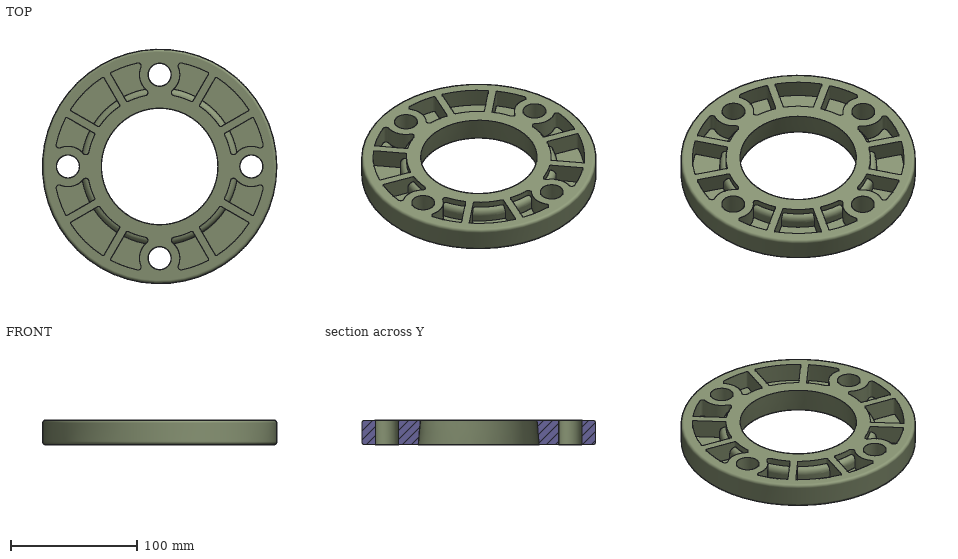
import cadquery as cq
import math

OUTER_DIAMETER = 185.6
THICKNESS = 19.7
BORE_DIAMETER = 92.0
BORE_TAPER = 5
RIM_FILLET = 2.5

BOLT_COUNT = 4
BOLT_DIAMETER = 18.0
BOLT_CIRCLE_RADIUS = 72.5
BOSS_RADIUS = 16.0

POCKET_INNER_RADIUS = 57.2
POCKET_OUTER_RADIUS = 83.7
POCKET_DEPTH = 15.0
RIB_WIDTH = 6.1
RIB_ANGLE = 30
RIB_CORNER_RADIUS = 1.0
BOSS_CORNER_RADIUS = 2.5

SHOULDER_WIDTH = 5.0
SHOULDER_DEPTH = 5.0

pocket_floor = THICKNESS - POCKET_DEPTH
bolt_pitch = 360 / BOLT_COUNT
bolt_angles = [i * bolt_pitch for i in range(BOLT_COUNT)]
rib_angles = [bolt + side * RIB_ANGLE for bolt in bolt_angles for side in (-1, 1)]


def bolt_cylinders(radius, bottom, height):
    return (
        cq.Workplane("XY", origin=(0, 0, bottom))
        .polarArray(BOLT_CIRCLE_RADIUS, 0, 360, BOLT_COUNT)
        .circle(radius)
        .extrude(height)
    )


def make_ring():
    disc = cq.Workplane("XY").circle(OUTER_DIAMETER / 2).extrude(THICKNESS)
    disc = disc.edges().fillet(RIM_FILLET)
    bore = (
        cq.Workplane("XY", origin=(0, 0, THICKNESS))
        .circle(BORE_DIAMETER / 2)
        .extrude(-THICKNESS, taper=-BORE_TAPER)
    )
    return disc.cut(bore)


def make_rib(angle):
    return (
        cq.Workplane("XY", origin=(0, 0, pocket_floor))
        .transformed(rotate=(0, 0, angle))
        .rect(OUTER_DIAMETER / 2, RIB_WIDTH, centered=(False, True))
        .extrude(POCKET_DEPTH)
    )


def make_shoulder():
    """Ring with a vertical outer wall and a quarter-round top."""
    outer_radius = POCKET_INNER_RADIUS + SHOULDER_WIDTH
    top = THICKNESS - SHOULDER_DEPTH
    round_start = top - SHOULDER_WIDTH
    diagonal = SHOULDER_WIDTH * math.sqrt(0.5)
    return (
        cq.Workplane("XZ")
        .moveTo(BORE_DIAMETER / 2, pocket_floor)
        .lineTo(outer_radius, pocket_floor)
        .lineTo(outer_radius, round_start)
        .threePointArc(
            (POCKET_INNER_RADIUS + diagonal, round_start + diagonal),
            (POCKET_INNER_RADIUS, top),
        )
        .lineTo(BORE_DIAMETER / 2, top)
        .close()
        .revolve(360, (0, 0, 0), (0, 1, 0))
    )


def is_boss_corner(edge):
    """True for an upright pocket edge nearer to a bolt hole than to a rib."""
    corner = edge.Center()
    angle = math.degrees(math.atan2(corner.y, corner.x))
    nearest_bolt = round(angle / bolt_pitch) * bolt_pitch
    return abs(angle - nearest_bolt) < RIB_ANGLE / 2


def upright_edges(solid, at_boss):
    edges = cq.Workplane(solid).edges("|Z").vals()
    return [edge for edge in edges if is_boss_corner(edge) == at_boss]


def round_corners(pocket):
    boss_corners = upright_edges(pocket, at_boss=True)
    if boss_corners:
        pocket = pocket.fillet(BOSS_CORNER_RADIUS, boss_corners)
    return pocket.fillet(RIB_CORNER_RADIUS, upright_edges(pocket, at_boss=False))


def make_pockets():
    band = (
        cq.Workplane("XY", origin=(0, 0, pocket_floor))
        .circle(POCKET_OUTER_RADIUS)
        .circle(POCKET_INNER_RADIUS)
        .extrude(POCKET_DEPTH)
        .cut(bolt_cylinders(BOSS_RADIUS, pocket_floor, POCKET_DEPTH))
    )
    for angle in rib_angles:
        band = band.cut(make_rib(angle))
    shoulder = make_shoulder()
    return [cq.Workplane(round_corners(pocket)).cut(shoulder) for pocket in band.solids().vals()]


result = make_ring().cut(bolt_cylinders(BOLT_DIAMETER / 2, 0, THICKNESS))
for pocket in make_pockets():
    result = result.cut(pocket)